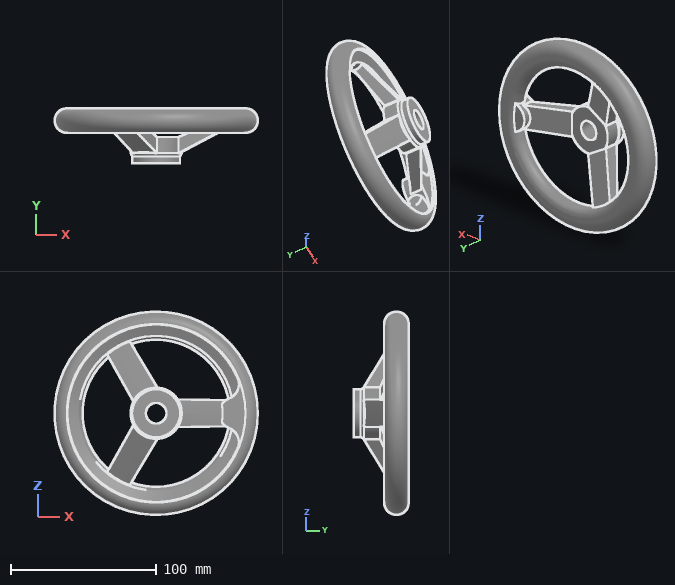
import cadquery as cq
import math

outer_radius = 70.0
grip_radius = 8.5
grip_centre_radius = outer_radius - grip_radius
seam_width = 0.4
seam_depth = 1.7
dish_floor_radius = 53.2
rim_hole_radius = 50.5
lip_radius = 6.7

bore_diameter = 14.0
hub_face_radius = 16.5
hub_body_radius = 17.6
hub_front_y = -29.4
hub_face_length = 4.8
hub_flare_length = 2.2
hub_back_y = -11.2

spoke_count = 3
spoke_root_width = 19.2
spoke_tip_width = 18.0
spoke_root_radius = 15.4
spoke_tip_radius = 53.9
spoke_root_front_y = hub_front_y + hub_face_length + hub_flare_length
spoke_front_slope = 0.527
spoke_back_slope = 0.43
spoke_crown = 0.4

boss_centre_x = 54.3
boss_radius = 11.0
boss_front_y = -grip_radius + seam_depth
boss_back_y = 6.9
boss_blend_radius = 10.5
boss_rim_radius = grip_centre_radius - seam_width


def make_rim():
    """Revolve a round grip with a conical dish inside its front edge."""
    seam_radius = grip_centre_radius - seam_width
    seam_y = -grip_radius + seam_depth
    lip_centre_radius = rim_hole_radius + lip_radius
    lip_centre_y = grip_radius - lip_radius
    floor_angle = math.acos((lip_centre_radius - dish_floor_radius) / lip_radius)
    dish_floor_y = lip_centre_y - lip_radius * math.sin(floor_angle)
    return (
        cq.Workplane("XY")
        .moveTo(grip_centre_radius, -grip_radius)
        .threePointArc((outer_radius, 0), (grip_centre_radius, grip_radius))
        .lineTo(lip_centre_radius, grip_radius)
        .threePointArc((rim_hole_radius, lip_centre_y), (dish_floor_radius, dish_floor_y))
        .lineTo(seam_radius, seam_y)
        .lineTo(grip_centre_radius, seam_y)
        .close()
        .revolve(360, (0, 0, 0), (0, 1, 0))
    )


def make_hub():
    """Revolve the hub, flared behind its front face."""
    flare_start_y = hub_front_y + hub_face_length
    return (
        cq.Workplane("XY")
        .moveTo(0, hub_front_y)
        .lineTo(hub_face_radius, hub_front_y)
        .lineTo(hub_face_radius, flare_start_y)
        .lineTo(hub_body_radius, flare_start_y + hub_flare_length)
        .lineTo(hub_body_radius, hub_back_y)
        .lineTo(0, hub_back_y)
        .close()
        .revolve(360, (0, 0, 0), (0, 1, 0))
    )


def make_spoke():
    """Loft the tapered, sloping spoke along +X, with a crowned front face."""
    run = spoke_tip_radius - spoke_root_radius
    tip_front_y = spoke_root_front_y + run * spoke_front_slope
    tip_back_y = hub_back_y + run * spoke_back_slope

    def section(base, width, front_y, back_y):
        half = width / 2
        return (
            base.moveTo(back_y, -half)
            .lineTo(front_y, -half)
            .threePointArc((front_y - spoke_crown, 0), (front_y, half))
            .lineTo(back_y, half)
            .close()
        )

    root_plane = cq.Workplane("YZ", origin=(spoke_root_radius, 0, 0))
    root = section(root_plane, spoke_root_width, spoke_root_front_y, hub_back_y)
    return section(root.workplane(offset=run), spoke_tip_width, tip_front_y, tip_back_y).loft(ruled=True)


def make_handle_boss():
    """Make a round boss that flares out to the rim with concave blends."""
    blend_orbit = boss_rim_radius - boss_blend_radius
    blend_reach = boss_radius + boss_blend_radius
    blend_x = (blend_orbit**2 - blend_reach**2 + boss_centre_x**2) / (2 * boss_centre_x)
    blend_z = math.sqrt(blend_orbit**2 - blend_x**2)
    boss_x = boss_centre_x + (blend_x - boss_centre_x) * boss_radius / blend_reach
    boss_z = blend_z * boss_radius / blend_reach
    rim_x = blend_x * boss_rim_radius / blend_orbit
    rim_z = blend_z * boss_rim_radius / blend_orbit
    towards_x = (boss_x + rim_x) / 2 - blend_x
    towards_z = (boss_z + rim_z) / 2 - blend_z
    stretch = boss_blend_radius / math.hypot(towards_x, towards_z)
    middle_x = blend_x + towards_x * stretch
    middle_z = blend_z + towards_z * stretch
    return (
        cq.Workplane("XZ", origin=(0, boss_front_y, 0))
        .moveTo(boss_x, boss_z)
        .threePointArc((middle_x, middle_z), (rim_x, rim_z))
        .threePointArc((boss_rim_radius, 0), (rim_x, -rim_z))
        .threePointArc((middle_x, -middle_z), (boss_x, -boss_z))
        .threePointArc((boss_centre_x - boss_radius, 0), (boss_x, boss_z))
        .close()
        .extrude(boss_front_y - boss_back_y)
    )


wheel = make_rim().union(make_hub()).union(make_handle_boss())
for index in range(spoke_count):
    angle = index * 360 / spoke_count
    wheel = wheel.union(make_spoke().rotate((0, 0, 0), (0, 1, 0), angle))

bore = cq.Workplane("XZ").circle(bore_diameter / 2).extrude(-hub_front_y, both=True)
result = wheel.cut(bore)